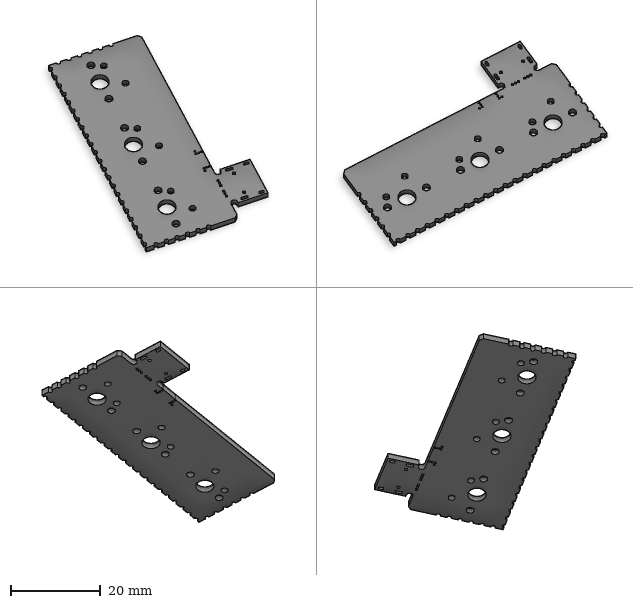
import cadquery as cq


key_spacing = 19.05
key_count = 3
grid = key_spacing / 7.5
edge_gap = 1.6

thickness = 1.55
board_width = key_count * key_spacing - edge_gap
board_height = 22.2
corner_chamfer = 0.8
key_y = (key_spacing - edge_gap) / 2

stem_diameter = 4.0
post_diameter = 1.7
pin_diameter = 1.5

notch_diameter = 1.0
bottom_notch_count = 22
side_notch_count = 6

tab_width = 10.2
tab_x = key_spacing
tab_top = 30.95
neck_notch_width = 1.5
neck_notch_depth = 1.15

shell_slot_spacing = 8.65
shell_slot_width = 0.6
upper_slot_length = 1.2
upper_slot_y = 29.7
lower_slot_length = 1.7
lower_slot_y = 25.6
peg_diameter = 0.65
peg_spacing = 5.8
peg_y = 26.1

perforation_diameter = 0.5
perforation_pitch = 0.8
perforation_start = 0.85
perforations_per_side = 3
perforation_y = 22.05

via_diameter = 0.4
via_pitch = 0.65
via_group_x = 10.05
via_column_offset = 2.2
via_foot_offset = 0.7
via_column_count = 3
via_top_y = 21.85


def through_holes(points, diameter):
    """Round cutters through the full thickness at the given points."""
    return cq.Workplane("XY").pushPoints(points).circle(diameter / 2).extrude(thickness)


def centred_row(count, pitch):
    """Positions of a row of evenly spaced items centred on zero."""
    return [(i - (count - 1) / 2) * pitch for i in range(count)]


def make_blank():
    """Main board with chamfered upper corners, joined to the plain tab."""
    board = (
        cq.Workplane("XY")
        .rect(board_width, board_height)
        .extrude(thickness)
        .edges("|Z and >Y")
        .chamfer(corner_chamfer)
        .translate((0, board_height / 2, 0))
    )
    tab_length = tab_top - board_height
    tab = (
        cq.Workplane("XY")
        .center(tab_x, board_height + tab_length / 2)
        .rect(tab_width, tab_length)
        .extrude(thickness)
    )
    return board.union(tab)


def cut_switches(body):
    """Stem, guide post and pin holes of each key switch."""
    for key_x in centred_row(key_count, key_spacing):
        posts = [(key_x - 2 * grid, key_y), (key_x + 2 * grid, key_y)]
        pins = [(key_x - 1.5 * grid, key_y + grid), (key_x + grid, key_y + 2 * grid)]
        body = body.cut(through_holes([(key_x, key_y)], stem_diameter))
        body = body.cut(through_holes(posts, post_diameter))
        body = body.cut(through_holes(pins, pin_diameter))
    return body


def cut_edge_notches(body):
    """Half-round notches along the bottom edge and both sides."""
    points = [(x, 0) for x in centred_row(bottom_notch_count, grid)]
    for offset in centred_row(side_notch_count, grid):
        points += [(side * board_width / 2, key_y + offset) for side in (-1, 1)]
    return body.cut(through_holes(points, notch_diameter))


def cut_neck_notches(body):
    """Round-ended notches that narrow the tab just above the board."""
    points = [(tab_x + side * tab_width / 2, board_height + neck_notch_width / 2) for side in (-1, 1)]
    notches = (
        cq.Workplane("XY")
        .pushPoints(points)
        .slot2D(2 * neck_notch_depth, neck_notch_width)
        .extrude(thickness)
    )
    return body.cut(notches)


def cut_connector(body):
    """Shell slots and locating peg holes of the connector."""
    for length, y in ((upper_slot_length, upper_slot_y), (lower_slot_length, lower_slot_y)):
        slots = (
            cq.Workplane("XY")
            .pushPoints([(tab_x + side * shell_slot_spacing / 2, y) for side in (-1, 1)])
            .slot2D(length, shell_slot_width, 90)
            .extrude(thickness)
        )
        body = body.cut(slots)
    pegs = [(tab_x + side * peg_spacing / 2, peg_y) for side in (-1, 1)]
    return body.cut(through_holes(pegs, peg_diameter))


def cut_perforations(body):
    """Row of snap-off holes on each side of the tab centreline."""
    points = []
    for i in range(perforations_per_side):
        offset = perforation_start + i * perforation_pitch
        points += [(tab_x - offset, perforation_y), (tab_x + offset, perforation_y)]
    return body.cut(through_holes(points, perforation_diameter))


def cut_vias(body):
    """Two mirrored groups: a column of holes plus one outer hole at its foot."""
    foot_y = via_top_y - (via_column_count - 1) * via_pitch
    points = []
    for side in (-1, 1):
        column_x = via_group_x + side * via_column_offset
        points += [(column_x, via_top_y - i * via_pitch) for i in range(via_column_count)]
        points.append((column_x + side * via_foot_offset, foot_y))
    return body.cut(through_holes(points, via_diameter))


result = make_blank()
result = cut_switches(result)
result = cut_edge_notches(result)
result = cut_neck_notches(result)
result = cut_connector(result)
result = cut_perforations(result)
result = cut_vias(result)